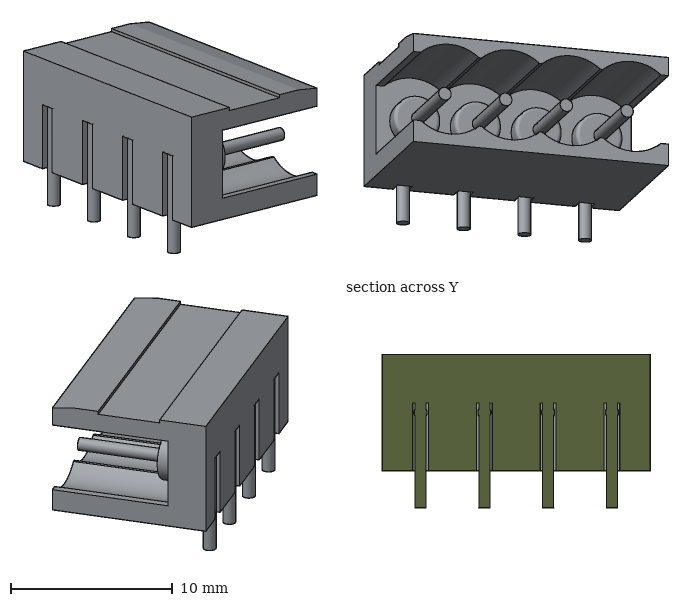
import cadquery as cq

LENGTH = 16.6
DEPTH = 10.0
HEIGHT = 7.2
OVERALL_HEIGHT = 9.5

FRONT_WALL = 2.47
LOWER_ARM = 1.4
UPPER_ARM = 1.38
SLOT_HEIGHT = HEIGHT - LOWER_ARM - UPPER_ARM
AXIS_HEIGHT = LOWER_ARM + SLOT_HEIGHT / 2

RECESS_START = 3.0
RECESS_END = 7.0
RECESS_DEPTH = 0.2
LIP_START = 8.5
LIP_DROP = 0.2

CONTACT_COUNT = 4
PITCH = 3.95
PIN_DIAMETER = 0.81
PIN_RADIUS = PIN_DIAMETER / 2
PIN_TIP = 9.0
TAIL_LENGTH = OVERALL_HEIGHT - HEIGHT
TAIL_Y = 0.51
COLLAR_DIAMETER = 2.99
COLLAR_HEIGHT = 1.05
COLLAR_FILLET = 0.25
GROOVE_WIDTH = 0.96
GROOVE_TOP = 4.18
GROOVE_DEPTH = TAIL_Y + PIN_RADIUS
SCALLOP_RADIUS = 2.9

contact_positions = [
    LENGTH / 2 + (i - (CONTACT_COUNT - 1) / 2) * PITCH for i in range(CONTACT_COUNT)
]


def make_housing():
    """C-shaped profile in the YZ plane, extruded along X."""
    slot_top = HEIGHT - UPPER_ARM
    recess_floor = HEIGHT - RECESS_DEPTH
    profile = [
        (0, 0),
        (DEPTH, 0),
        (DEPTH, LOWER_ARM),
        (FRONT_WALL, LOWER_ARM),
        (FRONT_WALL, slot_top),
        (DEPTH, slot_top),
        (DEPTH, HEIGHT - LIP_DROP),
        (LIP_START, HEIGHT),
        (RECESS_END, HEIGHT),
        (RECESS_END, recess_floor),
        (RECESS_START, recess_floor),
        (RECESS_START, HEIGHT),
        (0, HEIGHT),
    ]
    return cq.Workplane("YZ").polyline(profile).close().extrude(LENGTH)


def cylinder_along_y(x, start, end, radius):
    """Cylinder on a contact axis, from y = start to y = end."""
    plane = cq.Plane(origin=(x, start, AXIS_HEIGHT), xDir=(1, 0, 0), normal=(0, 1, 0))
    return cq.Workplane(plane).circle(radius).extrude(end - start)


def make_tail_groove(x):
    """Groove in the front face, open at the bottom, that holds a contact tail."""
    return cq.Workplane("XY").box(
        GROOVE_WIDTH, GROOVE_DEPTH, GROOVE_TOP, centered=(True, False, False)
    ).translate((x, 0, 0))


def make_contact(x):
    """Right-angle contact: vertical tail and horizontal pin, with a collar in the slot."""
    tail = (
        cq.Workplane("XY", origin=(x, TAIL_Y, -TAIL_LENGTH))
        .circle(PIN_RADIUS)
        .extrude(TAIL_LENGTH + GROOVE_TOP)
    )
    pin = cylinder_along_y(x, TAIL_Y, PIN_TIP, PIN_RADIUS)
    collar = cylinder_along_y(x, FRONT_WALL, FRONT_WALL + COLLAR_HEIGHT, COLLAR_DIAMETER / 2)
    collar = collar.faces(">Y").edges().fillet(COLLAR_FILLET)
    return tail.union(pin).union(collar)


result = make_housing()
for x in contact_positions:
    result = result.cut(cylinder_along_y(x, FRONT_WALL, DEPTH, SCALLOP_RADIUS))
    result = result.cut(make_tail_groove(x))
for x in contact_positions:
    result = result.union(make_contact(x))